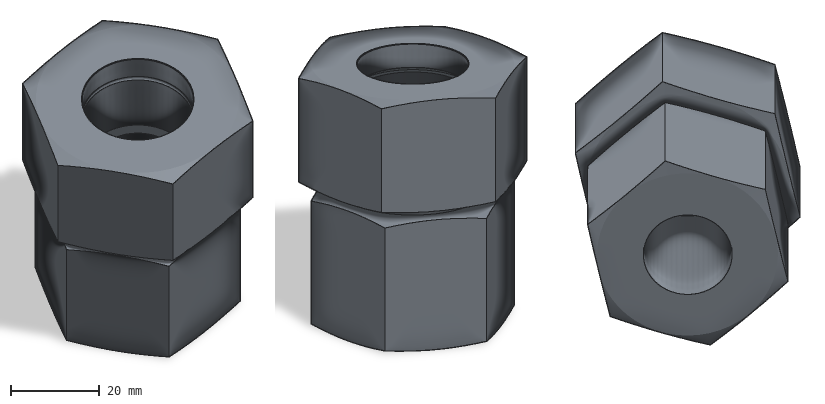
import cadquery as cq
import math

TOTAL_HEIGHT = 61.5
NUT_BOTTOM = 34.5
BODY_HEX_TOP = 31.5

NUT_FLATS = 46.05
BODY_FLATS = 41.0
HEX_HALF_ANGLE = 30.0
HEX_CHAMFER_ANGLE = 15.0
FACE_INSET = 0.1

SHANK_DIAMETER = 33.0
NECK_FOOT_DIAMETER = 34.1
NECK_FOOT_HEIGHT = 1.15

THROUGH_DIAMETER = 20.0
TUBE_DIAMETER = 25.0
MOUTH_CHAMFER = 0.155
RING_DIAMETER = 28.0

NUT_ROOF_THICKNESS = 5.9
RING_GAP = 1.0
RING_LENGTH = 14.75
CAVITY_TOP = TOTAL_HEIGHT - NUT_ROOF_THICKNESS
RING_TOP = CAVITY_TOP - RING_GAP
RING_BOTTOM = RING_TOP - RING_LENGTH


def cylinder(diameter, bottom, top):
    return cq.Workplane("XY").workplane(offset=bottom).circle(diameter / 2).extrude(top - bottom)


def chamfered_hex(flats, bottom, top):
    """Hexagonal prism whose corners are turned off by a shallow cone at both ends."""
    corner_diameter = flats / math.cos(math.radians(HEX_HALF_ANGLE))
    prism = (
        cq.Workplane("XY")
        .workplane(offset=bottom)
        .polygon(6, corner_diameter)
        .extrude(top - bottom)
        .rotate((0, 0, 0), (0, 0, 1), HEX_HALF_ANGLE)
    )
    face_radius = flats / 2 - FACE_INSET
    corner_radius = corner_diameter / 2
    drop = (corner_radius - face_radius) * math.tan(math.radians(HEX_CHAMFER_ANGLE))
    turned_blank = (
        cq.Workplane("XZ")
        .moveTo(0, bottom)
        .lineTo(face_radius, bottom)
        .lineTo(corner_radius, bottom + drop)
        .lineTo(corner_radius, top - drop)
        .lineTo(face_radius, top)
        .lineTo(0, top)
        .close()
        .revolve(360, (0, 0), (0, 1))
    )
    return prism.intersect(turned_blank)


def neck_foot():
    """Cone widening the shank where it meets the body hexagon."""
    return (
        cq.Workplane("XY")
        .workplane(offset=BODY_HEX_TOP)
        .circle(NECK_FOOT_DIAMETER / 2)
        .workplane(offset=NECK_FOOT_HEIGHT)
        .circle(SHANK_DIAMETER / 2)
        .loft()
    )


def make_body():
    body = chamfered_hex(BODY_FLATS, 0, BODY_HEX_TOP)
    body = body.union(cylinder(SHANK_DIAMETER, BODY_HEX_TOP, RING_TOP))
    body = body.union(neck_foot())
    body = body.cut(cylinder(THROUGH_DIAMETER, 0, RING_TOP))
    return body.cut(cylinder(RING_DIAMETER, RING_BOTTOM, RING_TOP))


def make_nut():
    nut = chamfered_hex(NUT_FLATS, NUT_BOTTOM, TOTAL_HEIGHT)
    nut = nut.cut(cylinder(SHANK_DIAMETER, NUT_BOTTOM, CAVITY_TOP))
    nut = nut.cut(cylinder(TUBE_DIAMETER, CAVITY_TOP, TOTAL_HEIGHT))
    mouth_edges = cq.selectors.RadiusNthSelector(0)
    return nut.edges("%CIRCLE").edges(mouth_edges).chamfer(MOUTH_CHAMFER)


def make_ring():
    ring = cylinder(RING_DIAMETER, RING_BOTTOM, RING_TOP)
    return ring.cut(cylinder(TUBE_DIAMETER, RING_BOTTOM, RING_TOP))


body = make_body()
nut = make_nut()
ring = make_ring()

result = cq.Compound.makeCompound([body.val(), nut.val(), ring.val()])